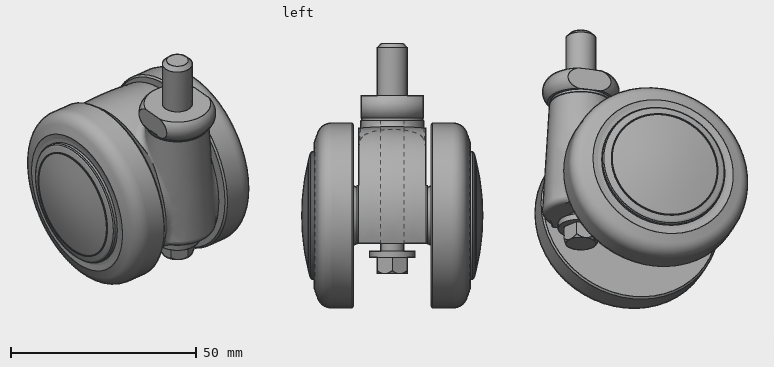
import cadquery as cq
import math


wheel_radius = 25.0
wheel_inner_face = 10.45
inner_edge_chamfer = 0.5
tread_end = 16.4
shoulder_radius = 4.0
shoulder_end_angle = 70.0
rim_lip_radius = 19.7
rim_lip_y = 21.1
recess_radius = 18.2
recess_y = 20.9
cap_radius = 17.2
cap_edge_y = 21.7
cap_bevel_radius = 16.95
cap_bevel_y = 22.0
dome_radius = 16.6
dome_edge_y = 22.25
overall_width = 49.0
dome_tip_y = overall_width / 2
dome_groove_radius = 14.9
dome_groove_width = 0.2
dome_groove_depth = 0.2
hub_radius = 8.0
hub_waist_radius = 7.65

barrel_half_width = 9.1
barrel_end_radius = 23.6
barrel_middle_radius = 24.0
housing_bottom = -7.5
boss_radius = 8.15
boss_face = 9.6
post_top = 25.6
post_top_radius = 8.5
post_base_radius = 10.45
post_bottom_fillet = 1.6
blend_radius = 2.15

stem_x = 17.0
stem_top = 46.5
stud_radius = 4.1
stud_chamfer = 1.15
flange_bottom = 26.4
flange_height = 6.0
flange_top_radius = 9.0
flange_middle_radius = 10.4
flange_across_flats = 16.9
collar_radius = 8.3
shank_radius = 3.15
washer_top = -9.65
washer_height = 1.65
washer_radius = 6.15
hex_across_flats = 8.15
hex_bottom = -15.7
hex_chamfer_height = 0.85


def cylinder(radius, bottom, top):
    """Upright cylinder on the Z axis."""
    return cq.Workplane("XY", origin=(0, 0, bottom)).circle(radius).extrude(top - bottom)


def make_wheel(side):
    """One wheel; side is +1 or -1 for the Y direction it faces."""
    turn = math.radians(shoulder_end_angle)
    shoulder_centre = wheel_radius - shoulder_radius

    def on_shoulder(angle):
        return (
            shoulder_centre + shoulder_radius * math.cos(angle),
            tread_end + shoulder_radius * math.sin(angle),
        )

    sagitta = dome_tip_y - dome_edge_y
    dome_sphere = (dome_radius ** 2 + sagitta ** 2) / (2 * sagitta)

    def dome_y(radius):
        return dome_tip_y - dome_sphere + math.sqrt(dome_sphere ** 2 - radius ** 2)

    profile = (
        cq.Workplane("XY")
        .moveTo(0, boss_face)
        .lineTo(hub_waist_radius, boss_face)
        .lineTo(hub_radius, wheel_inner_face)
        .lineTo(wheel_radius - inner_edge_chamfer, wheel_inner_face)
        .lineTo(wheel_radius, wheel_inner_face + inner_edge_chamfer)
        .lineTo(wheel_radius, tread_end)
        .threePointArc(on_shoulder(turn / 2), on_shoulder(turn))
        .lineTo(rim_lip_radius, rim_lip_y)
        .lineTo(recess_radius, recess_y)
        .lineTo(cap_radius, recess_y)
        .lineTo(cap_radius, cap_edge_y)
        .lineTo(cap_bevel_radius, cap_bevel_y)
        .lineTo(dome_radius, dome_edge_y)
        .threePointArc((dome_radius / 2, dome_y(dome_radius / 2)), (0, dome_tip_y))
        .close()
    )
    wheel = profile.revolve(360, (0, 0, 0), (0, 1, 0))

    groove_floor = dome_y(dome_groove_radius) - dome_groove_depth
    groove = (
        cq.Workplane("XZ", origin=(0, groove_floor, 0))
        .circle(dome_groove_radius + dome_groove_width / 2)
        .circle(dome_groove_radius - dome_groove_width / 2)
        .extrude(-(dome_tip_y - groove_floor))
    )
    wheel = wheel.cut(groove)
    return wheel if side > 0 else wheel.mirror("XZ")


def make_drum():
    """Slightly crowned drum on the wheel axis, left wider than the finished housing."""
    crown_sagitta = barrel_middle_radius - barrel_end_radius
    crown_arc = (barrel_half_width ** 2 + crown_sagitta ** 2) / (2 * crown_sagitta)
    rough_half_width = 2 * barrel_half_width
    rough_end_radius = barrel_middle_radius - crown_arc + math.sqrt(crown_arc ** 2 - rough_half_width ** 2)
    return (
        cq.Workplane("XY")
        .moveTo(0, -rough_half_width)
        .lineTo(rough_end_radius, -rough_half_width)
        .threePointArc((barrel_middle_radius, 0), (rough_end_radius, rough_half_width))
        .lineTo(0, rough_half_width)
        .close()
        .revolve(360, (0, 0, 0), (0, 1, 0))
    )


def make_post():
    """Tapered upright around the stem axis."""
    return (
        cq.Workplane("XZ")
        .moveTo(0, housing_bottom)
        .lineTo(post_base_radius, housing_bottom)
        .lineTo(post_top_radius, post_top)
        .lineTo(0, post_top)
        .close()
        .revolve(360, (0, 0, 0), (0, 1, 0))
        .faces("<Z")
        .edges()
        .fillet(post_bottom_fillet)
        .translate((stem_x, 0, 0))
    )


def make_housing():
    """Drum and post blended together, trimmed to flat sides and a flat bottom, then bored."""
    trim_length = 4 * wheel_radius
    body = make_drum().union(make_post())
    crease = cq.selectors.BoxSelector(
        (0, -post_base_radius, barrel_end_radius / 2),
        (barrel_end_radius, post_base_radius, barrel_end_radius),
    )
    body = body.edges(crease).fillet(blend_radius)
    sides = cq.Workplane("XY", origin=(0, 0, housing_bottom)).box(
        trim_length, 2 * barrel_half_width, trim_length, centered=(True, True, False)
    )
    bosses = cq.Workplane("XZ").circle(boss_radius).extrude(boss_face, both=True)
    bottom = cq.Workplane("XY", origin=(0, 0, housing_bottom)).box(
        trim_length, trim_length, trim_length, centered=(True, True, False)
    )
    bore = cylinder(shank_radius, housing_bottom, post_top).translate((stem_x, 0, 0))
    return body.intersect(sides).union(bosses.intersect(bottom)).cut(bore)


def make_flange():
    """Round-edged flange with two wrench flats."""
    flange_top = flange_bottom + flange_height
    flange = (
        cq.Workplane("XZ")
        .moveTo(0, flange_bottom)
        .lineTo(flange_top_radius, flange_bottom)
        .threePointArc(
            (flange_middle_radius, flange_bottom + flange_height / 2),
            (flange_top_radius, flange_top),
        )
        .lineTo(0, flange_top)
        .close()
        .revolve(360, (0, 0, 0), (0, 1, 0))
    )
    flats = cq.Workplane("XY", origin=(0, 0, flange_bottom)).box(
        3 * flange_middle_radius, flange_across_flats, flange_height, centered=(True, True, False)
    )
    return flange.intersect(flats)


def make_hex_head():
    """Hexagon below the washer with its lower corners chamfered."""
    flat_radius = hex_across_flats / 2
    corner_radius = flat_radius / math.cos(math.pi / 6)
    hex_height = washer_top - washer_height - hex_bottom
    head = (
        cq.Workplane("XY", origin=(0, 0, hex_bottom))
        .polygon(6, 2 * corner_radius)
        .extrude(hex_height)
    )
    envelope = (
        cq.Workplane("XZ")
        .moveTo(0, hex_bottom)
        .lineTo(flat_radius, hex_bottom)
        .lineTo(corner_radius, hex_bottom + hex_chamfer_height)
        .lineTo(corner_radius, hex_bottom + hex_height)
        .lineTo(0, hex_bottom + hex_height)
        .close()
        .revolve(360, (0, 0, 0), (0, 1, 0))
    )
    return head.intersect(envelope)


def make_stem():
    """Stud, wrench flange, shank through the housing, washer and hexagon head."""
    flange_top = flange_bottom + flange_height
    stud = cylinder(stud_radius, flange_top, stem_top).faces(">Z").chamfer(stud_chamfer)
    collar = cylinder(collar_radius, post_top, flange_bottom)
    shank = cylinder(shank_radius, washer_top, post_top)
    washer = cylinder(washer_radius, washer_top - washer_height, washer_top)
    stem = stud.union(make_flange()).union(collar).union(shank).union(washer).union(make_hex_head())
    return stem.translate((stem_x, 0, 0))


housing = make_housing()
stem = make_stem()
wheels = [make_wheel(side) for side in (-1, 1)]

result = cq.Compound.makeCompound([housing.val(), stem.val(), *[wheel.val() for wheel in wheels]])